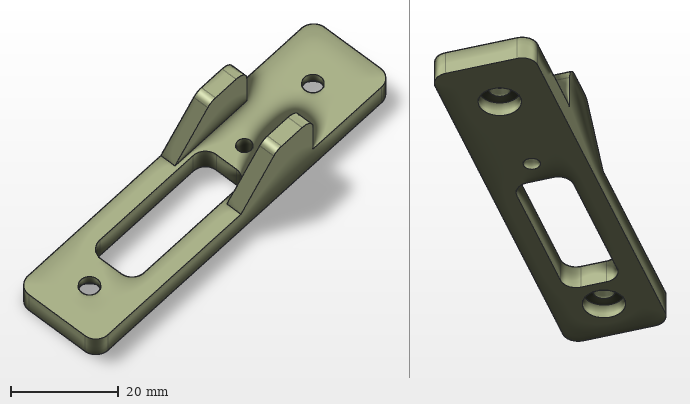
import cadquery as cq

length = 82.0
width = 20.0
plate_thickness = 5.0
plate_corner_radius = 3.0

slot_width = 11.1
slot_length = 32.0
slot_center_y = -10.0
slot_corner_radius = 3.0

mounting_hole_diameter = 4.2
mounting_hole_positions_y = (30.0, -32.0)
screw_recess_diameter = 8.0
screw_recess_depth = 3.0
small_hole_diameter = 3.2
small_hole_y = 11.0

total_height = 15.0
ear_height = total_height - plate_thickness
ear_thickness = 3.5
ear_length = 20.0
ear_back_y = 18.95
ear_front_y = ear_back_y - ear_length
ear_corner_radius = 3.0


def make_plate():
    return (
        cq.Workplane("XY")
        .box(width, length, plate_thickness, centered=(True, True, False))
        .edges("|Z")
        .fillet(plate_corner_radius)
    )


def make_slot():
    return (
        cq.Workplane("XY")
        .center(0, slot_center_y)
        .rect(slot_width, slot_length)
        .extrude(plate_thickness)
        .edges("|Z")
        .fillet(slot_corner_radius)
    )


def make_hole(diameter, y, depth=plate_thickness):
    """Cylinder to cut away, reaching up from the underside of the plate."""
    return cq.Workplane("XY").center(0, y).circle(diameter / 2).extrude(depth)


def make_ear(start_x):
    """Ear with an upright back and a 45 degree front, rounded at both top corners."""
    slope_top_y = ear_front_y + ear_height
    outline = [
        (ear_back_y, 0),
        (ear_back_y, total_height),
        (slope_top_y, total_height),
        (ear_front_y, plate_thickness),
        (ear_front_y, 0),
    ]
    return (
        cq.Workplane("YZ", origin=(start_x, 0, 0))
        .polyline(outline)
        .close()
        .extrude(ear_thickness)
        .faces(">Z")
        .edges("|X")
        .fillet(ear_corner_radius)
    )


result = make_plate()
for ear_x in (-width / 2, width / 2 - ear_thickness):
    result = result.union(make_ear(ear_x))

result = result.cut(make_slot())
for hole_y in mounting_hole_positions_y:
    result = result.cut(make_hole(mounting_hole_diameter, hole_y))
    result = result.cut(make_hole(screw_recess_diameter, hole_y, screw_recess_depth))
result = result.cut(make_hole(small_hole_diameter, small_hole_y))